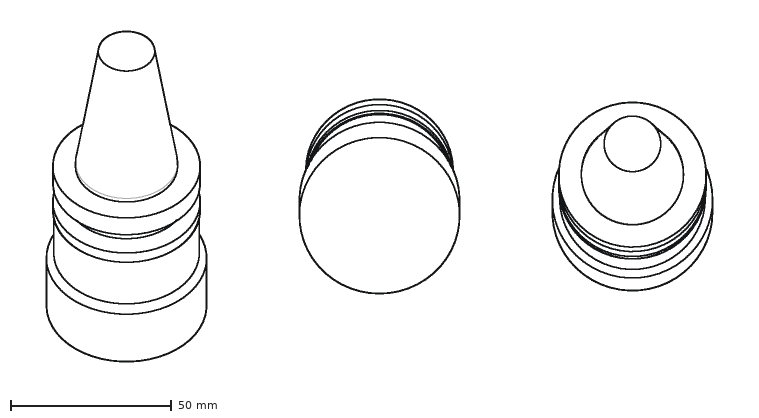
import cadquery as cq
import math

nut_diameter = 50.0
body_diameter = 45.5
flange_diameter = 46.0
groove_diameter = 38.0
taper_large_diameter = 31.9

total_height = 111.4
nut_straight_height = 20.8
flange_bottom = 41.3
groove_lower_edge = 45.7
groove_upper_edge = 53.7
flange_top = 61.0
collar_height = 1.7

groove_wall_angle = 30
taper_ratio = 7 / 24

nut_radius = nut_diameter / 2
body_radius = body_diameter / 2
flange_radius = flange_diameter / 2
groove_radius = groove_diameter / 2
taper_large_radius = taper_large_diameter / 2

nut_shoulder_top = nut_straight_height + nut_radius - body_radius
flange_chamfer_top = flange_bottom + flange_radius - body_radius

groove_wall_height = (flange_radius - groove_radius) * math.tan(math.radians(groove_wall_angle))

taper_bottom = flange_top + collar_height
taper_small_radius = taper_large_radius - (total_height - taper_bottom) * taper_ratio / 2

profile = [
    (0, 0),
    (nut_radius, 0),
    (nut_radius, nut_straight_height),
    (body_radius, nut_shoulder_top),
    (body_radius, flange_bottom),
    (flange_radius, flange_chamfer_top),
    (flange_radius, groove_lower_edge),
    (groove_radius, groove_lower_edge + groove_wall_height),
    (groove_radius, groove_upper_edge - groove_wall_height),
    (flange_radius, groove_upper_edge),
    (flange_radius, flange_top),
    (taper_large_radius, flange_top),
    (taper_large_radius, taper_bottom),
    (taper_small_radius, total_height),
    (0, total_height),
]

result = cq.Workplane("XZ").polyline(profile).close().revolve(360, (0, 0, 0), (0, 1, 0))